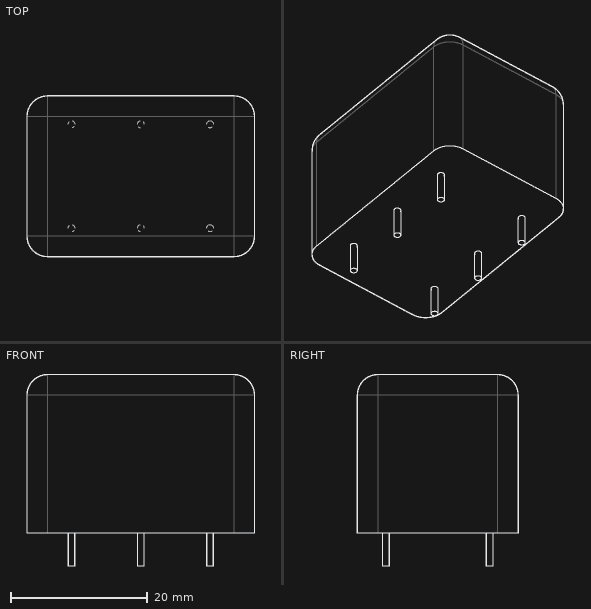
import cadquery as cq

case_length = 33.4
case_width = 23.62
overall_height = 28.12
edge_radius = 3.05

pin_diameter = 1.02
pin_length = 4.83
pin_pitch = 10.16
row_spacing = 15.24
pins_per_row = 3
pin_rows = 2
pin_embed = 1.0

case_height = overall_height - pin_length


def make_case():
    """Block standing on Z = 0 with rounded upright and top edges."""
    block = cq.Workplane("XY").box(
        case_length, case_width, case_height, centered=(True, True, False)
    )
    return block.edges("|Z or >Z").fillet(edge_radius)


def make_pins():
    """Grid of round pins hanging below the case."""
    return (
        cq.Workplane("XY")
        .workplane(offset=-pin_length)
        .rarray(pin_pitch, row_spacing, pins_per_row, pin_rows)
        .circle(pin_diameter / 2)
        .extrude(pin_length + pin_embed)
    )


result = make_case().union(make_pins())